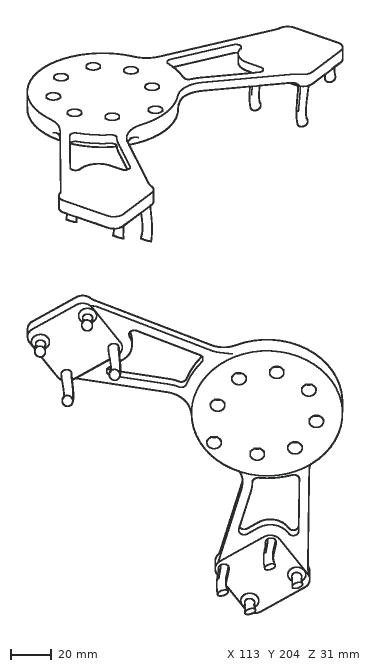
import cadquery as cq
import math


disc_radius = 37.5
disc_depth = 10.0
hole_diameter = 7.1
hole_count = 8
hole_circle_diameter = 50.0
end_hole_x = 31.6

mirror_y = 3.0
half_length = 102.0
pad_right = 75.5
pad_width = 37.5
pad_length = 36.5
pad_depth = 7.0
pad_corner = 5.7
pad_left = pad_right - pad_width
sides = (1, -1)

arm_depth = 4.9
rim_width = 4.9
outer_roots = {1: (-2.0, 34.0), -1: (-3.0, -33.5)}
inner_roots = {1: (20.4, 20.0), -1: (20.4, -18.4)}
arm_outer_hits = {1: 5.3, -1: 5.7}
arm_inner_hit = 5.0

disc_blend = 14.9
pad_blend = 7.3
window_fillet = 2.7
disc_root_fillet = 2.9
pad_root_fillet = 1.94

pin_edge_inset = 4.7
pin_diameter = 5.5
waist_diameter = 4.9
pin_tip_tilt = 30.0
pin_flare = 2.0
short_pin_inset = 8.5
short_waist_depth = 11.6
short_tip_inset = 8.2
short_tip_depth = 17.3
long_root_inset = 31.8
long_waist_inset = 33.5
long_waist_depth = 18.4
long_waist_tilt = -8.0
long_bend_inset = 33.8
long_bend_depth = 24.0
long_tip_inset = 32.6
long_tip_depth = 31.0


def pad_block(side, depth, margin=0.0):
    """Rounded pad prism hanging down from the top face; side is +1 or -1 along Y."""
    center_y = mirror_y + side * (half_length - pad_length / 2)
    return (
        cq.Workplane("XY")
        .center(pad_right - pad_width / 2, center_y)
        .rect(pad_width + 2 * margin, pad_length + 2 * margin)
        .extrude(-depth)
        .edges("|Z")
        .fillet(pad_corner + margin)
    )


def disc_block(depth, margin=0.0):
    return cq.Workplane("XY").circle(disc_radius + margin).extrude(-depth)


def arm_lines(side):
    """Root and pad-side points of an arm's outer and inner edges."""
    end_y = mirror_y + side * half_length
    inner_y = end_y - side * pad_length
    outer_tip = (pad_left, end_y - side * arm_outer_hits[side])
    inner_tip = (pad_right - arm_inner_hit, inner_y)
    return (outer_roots[side], outer_tip), (inner_roots[side], inner_tip)


def blended_arms():
    """Disc and both tapered arms as one full-depth prism, rounded where they meet."""
    prism = disc_block(disc_depth)
    for side in sides:
        (outer_root, outer_tip), (inner_root, inner_tip) = arm_lines(side)
        points = [outer_root, outer_tip, inner_tip, inner_root]
        prism = prism.union(cq.Workplane("XY").polyline(points).close().extrude(-disc_depth))
    disc_zone = cq.selectors.BoxSelector(
        (-disc_radius, -disc_radius, -disc_depth), (disc_radius, disc_radius, 0)
    )
    return prism.edges("|Z").edges(disc_zone).fillet(disc_blend)


def corner_blend(root, tip, corner_center, turn):
    """Concave fill between a straight arm edge and a rounded pad corner.

    The blend circle touches the line root-tip on the side given by turn (+1 is left)
    and touches the corner circle from outside.
    """
    start = cq.Vector(*root)
    along = (cq.Vector(*tip) - start).normalized()
    outward = cq.Vector(-along.y, along.x) * turn
    corner = cq.Vector(*corner_center)
    offset_start = start + outward * pad_blend
    to_corner = corner - offset_start
    reach = to_corner.dot(along)
    half_chord = math.sqrt((pad_corner + pad_blend) ** 2 - to_corner.Length**2 + reach**2)
    center = offset_start + along * (reach - half_chord)
    line_touch = center - outward * pad_blend
    corner_touch = center + (corner - center).normalized() * pad_blend
    points = [point.toTuple()[:2] for point in (center, line_touch, corner, corner_touch)]
    fill = cq.Workplane("XY").polyline(points).close().extrude(-disc_depth)
    return fill.cut(cq.Workplane("XY").center(center.x, center.y).circle(pad_blend).extrude(-disc_depth))


def outline_prism(arms):
    """Full-depth prism of the whole outline."""
    outline = arms
    for side in sides:
        end_y = mirror_y + side * half_length
        outer_corner = (pad_left + pad_corner, end_y - side * pad_corner)
        inner_corner = (pad_right - pad_corner, end_y - side * (pad_length - pad_corner))
        outer_line, inner_line = arm_lines(side)
        outline = outline.union(pad_block(side, disc_depth))
        outline = outline.union(corner_blend(*outer_line, outer_corner, side))
        outline = outline.union(corner_blend(*inner_line, inner_corner, -side))
    return outline


def windows(arms):
    """Openings that leave an even rim inside each arm, along the disc and along the pad."""
    inset = arms.faces(">Z").wires().toPending().offset2D(-rim_width)
    openings = inset.extrude(-disc_depth, combine=False).cut(disc_block(disc_depth, rim_width))
    for side in sides:
        openings = openings.cut(pad_block(side, disc_depth, rim_width))
    return openings.edges("|Z").fillet(window_fillet)


def root_zone(center_y, reach_y):
    """Selector for the edges where a thicker block leaves the arm-thickness slab."""
    tolerance = 0.2
    low = (-half_length, center_y - reach_y, -arm_depth - tolerance)
    high = (half_length, center_y + reach_y, -arm_depth + tolerance)
    return cq.selectors.BoxSelector(low, high)


def stepped_blank():
    """Oversized slab of arm thickness with the thicker disc and pads below it."""
    slab_size = 4 * half_length
    blank = cq.Workplane("XY").rect(slab_size, slab_size).extrude(-arm_depth)
    blank = blank.union(disc_block(disc_depth))
    blank = blank.edges(root_zone(0, disc_radius)).fillet(disc_root_fillet)
    for side in sides:
        pad_center_y = mirror_y + side * (half_length - pad_length / 2)
        blank = blank.union(pad_block(side, pad_depth))
        blank = blank.edges(root_zone(pad_center_y, pad_length / 2)).fillet(pad_root_fillet)
    return blank


def bolt_holes():
    """Ring of through holes; the one on +X sits further out."""
    step = 2 * math.pi / hole_count
    radius = hole_circle_diameter / 2
    centers = [(end_hole_x, 0)]
    for index in range(1, hole_count):
        angle = index * step
        centers.append((radius * math.cos(angle), radius * math.sin(angle)))
    return cq.Workplane("XY").pushPoints(centers).circle(hole_diameter / 2).extrude(-disc_depth)


def pin(x, sections):
    """Bent round pin through sections of (inset, depth, tilt, diameter)."""
    end_y = mirror_y + half_length
    wires = []
    for inset, depth, tilt, diameter in sections:
        angle = math.radians(tilt)
        center = cq.Vector(x, end_y - inset, -depth)
        axis = cq.Vector(0, math.sin(angle), -math.cos(angle))
        wires.append(cq.Wire.makeCircle(diameter / 2, center, axis))
    return cq.Workplane(cq.Solid.makeLoft(wires))


def root_flare(x, inset):
    """Conical flare where a short pin leaves the pad."""
    radius = waist_diameter / 2
    foot = cq.Vector(x, mirror_y + half_length - inset, -pad_depth)
    cone = cq.Solid.makeCone(radius + pin_flare, radius, pin_flare, pnt=foot, dir=cq.Vector(0, 0, -1))
    return cq.Workplane(cone)


def pad_pins():
    """The four pins under the +Y pad."""
    tip_rise = pin_diameter / 2 * math.sin(math.radians(pin_tip_tilt))
    short_sections = [
        (short_pin_inset, arm_depth, 0, pin_diameter),
        (short_pin_inset, short_waist_depth, 0, waist_diameter),
        (short_tip_inset, short_tip_depth - tip_rise, pin_tip_tilt, pin_diameter),
    ]
    long_sections = [
        (long_root_inset, arm_depth, long_waist_tilt, pin_diameter),
        (long_waist_inset, long_waist_depth, long_waist_tilt, waist_diameter),
        (long_bend_inset, long_bend_depth, 0, waist_diameter),
        (long_tip_inset, long_tip_depth - tip_rise, pin_tip_tilt, pin_diameter),
    ]
    pins = cq.Workplane("XY")
    for x in (pad_left + pin_edge_inset, pad_right - pin_edge_inset):
        pins = pins.union(pin(x, short_sections)).union(root_flare(x, short_pin_inset))
        pins = pins.union(pin(x, long_sections))
    return pins


arms = blended_arms()
outline = outline_prism(arms)
body = outline.intersect(stepped_blank()).cut(windows(arms)).cut(bolt_holes())
pins = pad_pins()
result = body.union(pins).union(pins.mirror("XZ", (0, mirror_y, 0)))